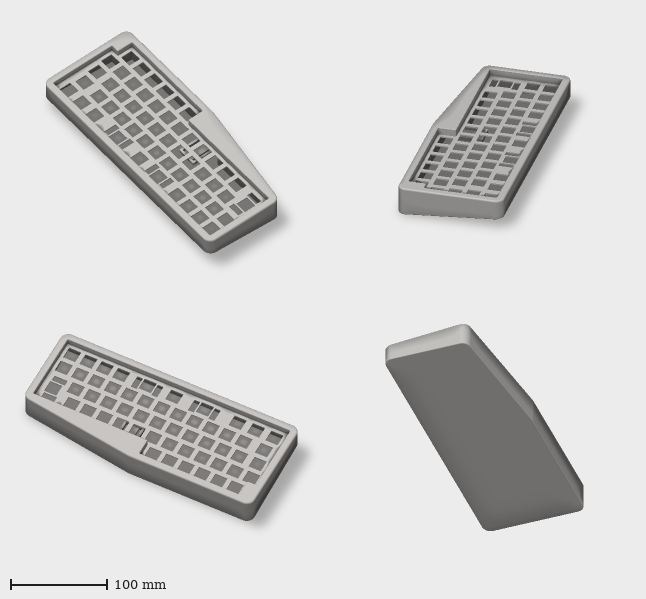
import cadquery as cq
import math


LENGTH = 275.3
HEIGHT = 31.0

ROW_COUNT = 5
ROW_UNITS = 13.5
RIM = 8.0
KEY_MARGIN = 1.0
GRID_OFFSET = RIM + KEY_MARGIN
PITCH = (LENGTH - 2 * GRID_OFFSET) / ROW_UNITS
WIDTH = ROW_COUNT * PITCH + 2 * GRID_OFFSET
SWITCH_HOLE = 14.0
KEY_ROWS = [
    [1 + i for i in range(6)],
    [0.5 + i for i in range(12)],
    [0.625] + [1.75 + i for i in range(11)],
    [0.75] + [2 + i for i in range(12)],
    [0.625, 1.75, 2.875, 4.875, 6.75, 8.375, 10, 11, 12, 13],
]
TALL_KEY_CENTER = 12.875
TALL_KEY_LEVEL = 3
WIDE_KEY_CENTERS = [4.875, 8.375]

CORNER_RADIUS = GRID_OFFSET
SLANT_START = GRID_OFFSET + 7 * PITCH
SLANT_DROP = PITCH

FRAME_HEIGHT = 8.0
FRAME_EDGE_RADIUS = 2.0
OPENING_CHAMFER = 0.5
OPENING_RADIUS = KEY_MARGIN
NOTCH_LEFT = GRID_OFFSET + 0.5 * PITCH - KEY_MARGIN
NOTCH_RIGHT = GRID_OFFSET + 6.5 * PITCH + KEY_MARGIN
SHOULDER_Y = GRID_OFFSET + 4 * PITCH + KEY_MARGIN
BACK_SPLIT_X = NOTCH_RIGHT - OPENING_RADIUS
FRONT_SPLIT_X = 147.9

PLATE_THICKNESS = 1.5
STABILIZER_SHORT = 6.5
STABILIZER_LONG = 15.1
STABILIZER_SPACING = 24.0
STABILIZER_OFFSET = 1.5
FRAME_TOP = PLATE_THICKNESS + FRAME_HEIGHT

TILT = math.radians(5)
BOTTOM_EDGE_RADIUS = 1.0
FLOOR_THICKNESS = 2.0
CASE_DEPTH = HEIGHT - FRAME_TOP
FRONT_DEPTH = CASE_DEPTH - (WIDTH - BOTTOM_EDGE_RADIUS) * math.tan(TILT)
RECESS_RIGHT = 180.3
RECESS_CORNER_RADIUS = 2.8

TRAY_LEFT = 149.0
TRAY_RIGHT = 172.0
TRAY_FRONT = 62.2
TRAY_WALL = 2.5
TRAY_TOP = -7.0
TRAY_BOTTOM = -10.7
TRAY_CORNER_RADIUS = 0.8
BOARD_LENGTH = 23.0
BOARD_FRONT = TRAY_FRONT + TRAY_WALL
BOARD_BACK = BOARD_FRONT + BOARD_LENGTH
PAD_LEFT = 154.7
PAD_RIGHT = 167.0
PAD_TOP = -8.3


def prism(points, bottom, top):
    """Upright prism on a plan polygon."""
    return cq.Workplane("XY").workplane(offset=bottom).polyline(points).close().extrude(top - bottom)


def block(left, right, front, back, bottom, top):
    """Axis-aligned box given by its six sides."""
    return prism([(left, front), (right, front), (right, back), (left, back)], bottom, top)


def outline_prism(bottom, top):
    """Case outline: four rounded corners and a back edge that slants down to the right."""
    points = [(0, 0), (LENGTH, 0), (LENGTH, WIDTH - SLANT_DROP), (SLANT_START, WIDTH), (0, WIDTH)]
    return prism(points, bottom, top).edges("|Z and (<X or >X)").fillet(CORNER_RADIUS)


def key_area_prism(bottom, top):
    """Area around the keys: full width over four rows, with a notch at the back for the first row."""
    points = [
        (RIM, RIM),
        (LENGTH - RIM, RIM),
        (LENGTH - RIM, SHOULDER_Y),
        (NOTCH_RIGHT, SHOULDER_Y),
        (NOTCH_RIGHT, WIDTH - RIM),
        (NOTCH_LEFT, WIDTH - RIM),
        (NOTCH_LEFT, SHOULDER_Y),
        (RIM, SHOULDER_Y),
    ]
    return prism(points, bottom, top)


def grid_x(units):
    """X of a place on the key grid."""
    return GRID_OFFSET + units * PITCH


def grid_y(units):
    """Y of a place on the key grid, counted from the front of the front row."""
    return GRID_OFFSET + units * PITCH



def make_whole_frame():
    frame = outline_prism(PLATE_THICKNESS, FRAME_TOP).faces(">Z").edges().fillet(FRAME_EDGE_RADIUS)
    opening = key_area_prism(PLATE_THICKNESS, FRAME_TOP).edges("|Z").fillet(OPENING_RADIUS)
    frame = frame.cut(opening)
    opening_rim = frame.faces(">Z").val().innerWires()[0].Edges()
    return frame.newObject(opening_rim).chamfer(OPENING_CHAMFER)


def left_half_prism():
    """Everything left of the frame joint, which lies further left at the back than at the front."""
    middle = WIDTH / 2
    points = [
        (0, 0),
        (FRONT_SPLIT_X, 0),
        (FRONT_SPLIT_X, middle),
        (BACK_SPLIT_X, middle),
        (BACK_SPLIT_X, WIDTH),
        (0, WIDTH),
    ]
    return prism(points, PLATE_THICKNESS, FRAME_TOP)


def make_left_frame():
    return make_whole_frame().intersect(left_half_prism())


def make_right_frame():
    return make_whole_frame().cut(left_half_prism())



def switch_centers():
    centers = [(grid_x(TALL_KEY_CENTER), grid_y(TALL_KEY_LEVEL))]
    for row, key_units in enumerate(KEY_ROWS):
        y = grid_y(ROW_COUNT - row - 0.5)
        centers += [(grid_x(units), y) for units in key_units]
    return centers


def wide_stabilizer_centers():
    """Openings left and right of each wide key, set back a little from its center."""
    y = grid_y(0.5) + STABILIZER_OFFSET
    sides = (-STABILIZER_SPACING / 2, STABILIZER_SPACING / 2)
    return [(grid_x(units) + side, y) for units in WIDE_KEY_CENTERS for side in sides]


def tall_stabilizer_centers():
    """Openings in front of and behind the tall key, set a little to the left of its center."""
    x = grid_x(TALL_KEY_CENTER) - STABILIZER_OFFSET
    y = grid_y(TALL_KEY_LEVEL)
    return [(x, y - STABILIZER_SPACING / 2), (x, y + STABILIZER_SPACING / 2)]


def rectangular_cutters(centers, x_size, y_size):
    return cq.Workplane("XY").pushPoints(centers).rect(x_size, y_size).extrude(PLATE_THICKNESS)


def make_plate():
    plate = outline_prism(0, PLATE_THICKNESS)
    plate = plate.cut(rectangular_cutters(switch_centers(), SWITCH_HOLE, SWITCH_HOLE))
    plate = plate.cut(rectangular_cutters(wide_stabilizer_centers(), STABILIZER_SHORT, STABILIZER_LONG))
    return plate.cut(rectangular_cutters(tall_stabilizer_centers(), STABILIZER_LONG, STABILIZER_SHORT))



def wedge(front_depth):
    """Space between the seam and a tilted plane that lies front_depth below it at the front."""
    back_depth = front_depth + WIDTH * math.tan(TILT)
    side = [(0, 0), (WIDTH, 0), (WIDTH, -back_depth), (0, -front_depth)]
    return cq.Workplane("YZ").polyline(side).close().extrude(LENGTH)


def make_recess():
    """Extra room behind the key area for the controller, open to the notch on its left."""
    return block(BACK_SPLIT_X, RECESS_RIGHT, BOARD_FRONT, WIDTH - RIM, -HEIGHT, 0)


def make_cavity():
    cavity = key_area_prism(-HEIGHT, 0).union(make_recess())
    recess_corner = cq.selectors.NearestToPointSelector((RECESS_RIGHT, SHOULDER_Y, -HEIGHT / 2))
    cavity = cavity.edges("|Z").edges(recess_corner).fillet(RECESS_CORNER_RADIUS)
    return cavity.intersect(wedge(FRONT_DEPTH - FLOOR_THICKNESS))


def make_bottom_case():
    shell = outline_prism(-HEIGHT, 0).intersect(wedge(FRONT_DEPTH))
    shell = shell.faces("<Z").edges().fillet(BOTTOM_EDGE_RADIUS)
    return shell.cut(make_cavity())



def make_tray():
    """Walled tray with a center pad between two slots, held by a block that reaches the back wall."""
    tray = block(TRAY_LEFT, TRAY_RIGHT, TRAY_FRONT, BOARD_BACK + TRAY_WALL, TRAY_BOTTOM, TRAY_TOP)
    tray = tray.edges("|Z").fillet(TRAY_CORNER_RADIUS)
    inner_left = TRAY_LEFT + TRAY_WALL
    inner_right = TRAY_RIGHT - TRAY_WALL
    tray = tray.cut(block(inner_left, inner_right, BOARD_FRONT, BOARD_BACK, TRAY_BOTTOM, TRAY_TOP))
    pad = block(PAD_LEFT, PAD_RIGHT, BOARD_FRONT, BOARD_BACK, TRAY_BOTTOM, PAD_TOP)
    mount = block(PAD_LEFT, PAD_RIGHT, BOARD_BACK, WIDTH - RIM, TRAY_BOTTOM, 0)
    return tray.union(pad).union(mount)


left_frame = make_left_frame()
right_frame = make_right_frame()
plate = make_plate()
bottom_case = make_bottom_case()
tray = make_tray()

result = cq.Compound.makeCompound(
    [left_frame.val(), right_frame.val(), plate.val(), bottom_case.val(), tray.val()]
)